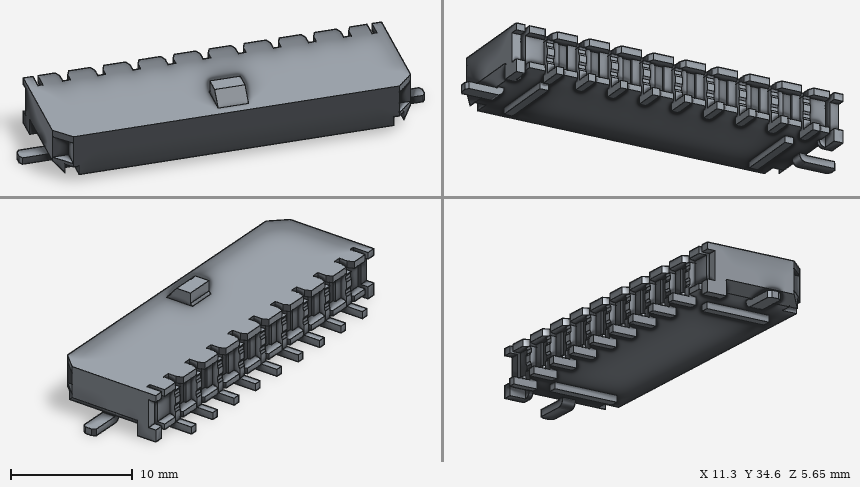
import cadquery as cq
import math


total_width = 34.65
total_height = 5.65
front_x = 11.35

rear_x = 1.45
half_length = 15.3
base_z = 0.73
top_z = 4.47
corner_chamfer_x = 1.45
corner_chamfer_y = 1.4
bottom_chamfer = 0.83

recess_x = 2.2
ledge_top_z = 1.25
lip_bottom_z = 3.85
panel_width = 0.83
panel_depth = 0.25

foot_bottom_z = 0.12
foot_front_x = 3.33
foot_width = 1.4
foot_radius = 0.55
slot_offset = 0.83
slot_width = 0.4
slot_end_x = 2.95
slot_bevel = 0.28

pin_count = 9
pin_row_length = 24.0
pin_pitch = pin_row_length / (pin_count - 1)
pin_size = 0.65
pin_face_x = 1.6
pin_top_z = 3.65
pin_arm_end_x = 2.8
groove_depth = 0.1
groove_slope = 0.2
groove_height = 0.73
groove_spacing = 1.35
groove_tops = (pin_top_z, pin_top_z - groove_spacing)

notch_mouth = 1.15
notch_flare_end_x = 2.0

step_bottom_z = 1.87
key_length = 1.4
key_width = 1.05

runner_start_x = 3.65
runner_length = 6.05
runner_width = 0.8
runner_inner_y = 11.1

latch_rear_x = 8.05
latch_flat = 1.4
latch_run = 1.05
latch_width = 2.6
latch_base_flare = 0.2

tab_rear_x = 6.17
tab_width = 1.25
tab_thickness = 0.62
tab_root_y = half_length - bottom_chamfer
tab_chamfer_x = 0.3
tab_chamfer_y = 0.2

SIDES = (-1, 1)
pin_positions = [(i - (pin_count - 1) / 2) * pin_pitch for i in range(pin_count)]
panel_positions = [y + pin_pitch / 2 for y in pin_positions[:-1]]


def block(x0, x1, y0, y1, z0, z1):
    """Axis-aligned box between two opposite corners; the Y limits may come in either order."""
    corner = (x0, min(y0, y1), z0)
    return cq.Workplane("XY").box(x1 - x0, abs(y1 - y0), z1 - z0, centered=False).translate(corner)


def extrude_side(points, y_center, width):
    """Extrude an X-Z outline evenly to both sides of a Y position."""
    return cq.Workplane("XZ", origin=(0, y_center, 0)).polyline(points).close().extrude(width / 2, both=True)


def make_shell():
    """Housing block with front corner chamfers and chamfered lower side edges."""
    shell = block(rear_x, front_x, -half_length, half_length, base_z, top_z)
    for side in SIDES:
        corner = [
            (front_x, side * half_length),
            (front_x - corner_chamfer_x, side * half_length),
            (front_x, side * (half_length - corner_chamfer_y)),
        ]
        shell = shell.cut(cq.Workplane("XY").polyline(corner).close().extrude(top_z))
        edge_y = side * half_length
        lower_edge = [
            (edge_y, base_z),
            (edge_y - side * bottom_chamfer, base_z),
            (edge_y, base_z + bottom_chamfer),
        ]
        wedge = cq.Workplane("YZ", origin=(foot_front_x, 0, 0)).polyline(lower_edge).close()
        shell = shell.cut(wedge.extrude(front_x - foot_front_x))
    return shell


def make_foot(side):
    """Rear corner foot, rounded along its inner lower edge."""
    inner_y = side * (half_length - foot_width)
    foot = block(rear_x, foot_front_x, inner_y, side * half_length, foot_bottom_z, ledge_top_z)
    inner_edge = "<Y" if side > 0 else ">Y"
    return foot.faces("<Z").edges("|X").edges(inner_edge).fillet(foot_radius)


def make_runner(side):
    """Straight runner under the housing, level with the feet."""
    outer_y = runner_inner_y + runner_width
    return block(
        runner_start_x, runner_start_x + runner_length,
        side * runner_inner_y, side * outer_y,
        foot_bottom_z, base_z,
    )


def make_latch():
    """Latch ramp on the top face: upright at the rear with a flared base, sloping down at the front."""
    flat_end_x = latch_rear_x + latch_flat
    outline = [
        (latch_rear_x - latch_base_flare, top_z),
        (latch_rear_x, top_z + latch_base_flare),
        (latch_rear_x, total_height),
        (flat_end_x, total_height),
        (flat_end_x + latch_run, top_z),
    ]
    return extrude_side(outline, 0, latch_width)


def cut_panel(y):
    """Shallow panel sunk into the recess floor midway between two pins."""
    return block(
        recess_x, recess_x + panel_depth,
        y - panel_width / 2, y + panel_width / 2,
        ledge_top_z, lip_bottom_z,
    )


def cut_end_slot(side):
    """Slot beside each rear ear, open to the rear, the top and the bottom.

    It widens under the ledge, and its end wall is bevelled just below the lip.
    """
    outer_y = side * (half_length - slot_offset)
    slot = block(rear_x, slot_end_x, outer_y - side * slot_width, outer_y, 0, top_z)
    relief = block(rear_x, slot_end_x, side * (half_length - foot_width), outer_y, 0, base_z)
    bevel_outline = [
        (slot_end_x, lip_bottom_z),
        (slot_end_x + slot_bevel, lip_bottom_z),
        (slot_end_x, lip_bottom_z - slot_bevel),
    ]
    bevel = extrude_side(bevel_outline, outer_y - side * slot_width / 2, slot_width)
    return slot.union(relief).union(bevel)


def cut_pin_notch(y):
    """Notch around a pin: a flared mouth through lip and ledge, then a channel above the pin."""
    mouth = [
        (rear_x, y - notch_mouth / 2),
        (notch_flare_end_x, y - pin_size / 2),
        (notch_flare_end_x, y + pin_size / 2),
        (rear_x, y + notch_mouth / 2),
    ]
    flare = cq.Workplane("XY").polyline(mouth).close().extrude(top_z)
    channel = block(rear_x, pin_arm_end_x, y - pin_size / 2, y + pin_size / 2, pin_top_z, top_z)
    return flare.union(channel)


def cut_front_corner(side):
    """Square step in the corner chamfer, and a short groove in the lower wall."""
    step = block(
        front_x - corner_chamfer_x, front_x,
        side * (half_length - corner_chamfer_y), side * half_length,
        step_bottom_z, lip_bottom_z,
    )
    key_outer_y = half_length - bottom_chamfer
    key = block(
        front_x - key_length, front_x,
        side * (key_outer_y - key_width), side * key_outer_y,
        base_z, base_z + bottom_chamfer,
    )
    return step.union(key)


def make_pin(y):
    """Bent pin: board foot, upright leg with two grooves in its face, and an arm into the housing."""
    outline = [
        (0, 0),
        (pin_face_x + pin_size, 0),
        (pin_face_x + pin_size, pin_top_z - pin_size),
        (pin_arm_end_x, pin_top_z - pin_size),
        (pin_arm_end_x, pin_top_z),
    ]
    for groove_top in groove_tops:
        groove_bottom = groove_top - groove_height
        outline += [
            (pin_face_x, groove_top),
            (pin_face_x + groove_depth, groove_top - groove_slope),
            (pin_face_x + groove_depth, groove_bottom + groove_slope),
            (pin_face_x, groove_bottom),
        ]
    outline += [(pin_face_x, pin_size), (0, pin_size)]
    return extrude_side(outline, y, pin_size)


def make_tab(side):
    """Solder tab with chamfered outer corners, bent up through a quarter circle into the housing."""
    outer_y = total_width / 2
    inner_y = tab_root_y - tab_thickness
    bend_y = inner_y + tab_thickness * (1 - math.cos(math.pi / 4))
    bend_z = tab_thickness * (1 - math.sin(math.pi / 4))
    tab = (
        cq.Workplane("YZ", origin=(tab_rear_x, 0, 0))
        .moveTo(side * outer_y, 0)
        .lineTo(side * tab_root_y, 0)
        .threePointArc((side * bend_y, bend_z), (side * inner_y, tab_thickness))
        .lineTo(side * inner_y, ledge_top_z)
        .lineTo(side * tab_root_y, ledge_top_z)
        .lineTo(side * tab_root_y, tab_thickness)
        .lineTo(side * outer_y, tab_thickness)
        .close()
        .extrude(tab_width)
    )
    for edge_x, inward in ((tab_rear_x, 1), (tab_rear_x + tab_width, -1)):
        corner = [
            (edge_x, side * outer_y),
            (edge_x + inward * tab_chamfer_x, side * outer_y),
            (edge_x, side * (outer_y - tab_chamfer_y)),
        ]
        tab = tab.cut(cq.Workplane("XY").polyline(corner).close().extrude(tab_thickness))
    return tab


housing = make_shell()
for side in SIDES:
    housing = housing.union(make_foot(side)).union(make_runner(side))
housing = housing.union(make_latch())
housing = housing.cut(block(rear_x, recess_x, -half_length, half_length, ledge_top_z, lip_bottom_z))
for y in panel_positions:
    housing = housing.cut(cut_panel(y))
for y in pin_positions:
    housing = housing.cut(cut_pin_notch(y))
for side in SIDES:
    housing = housing.cut(cut_end_slot(side)).cut(cut_front_corner(side))

result = housing
for y in pin_positions:
    result = result.union(make_pin(y))
for side in SIDES:
    result = result.union(make_tab(side))